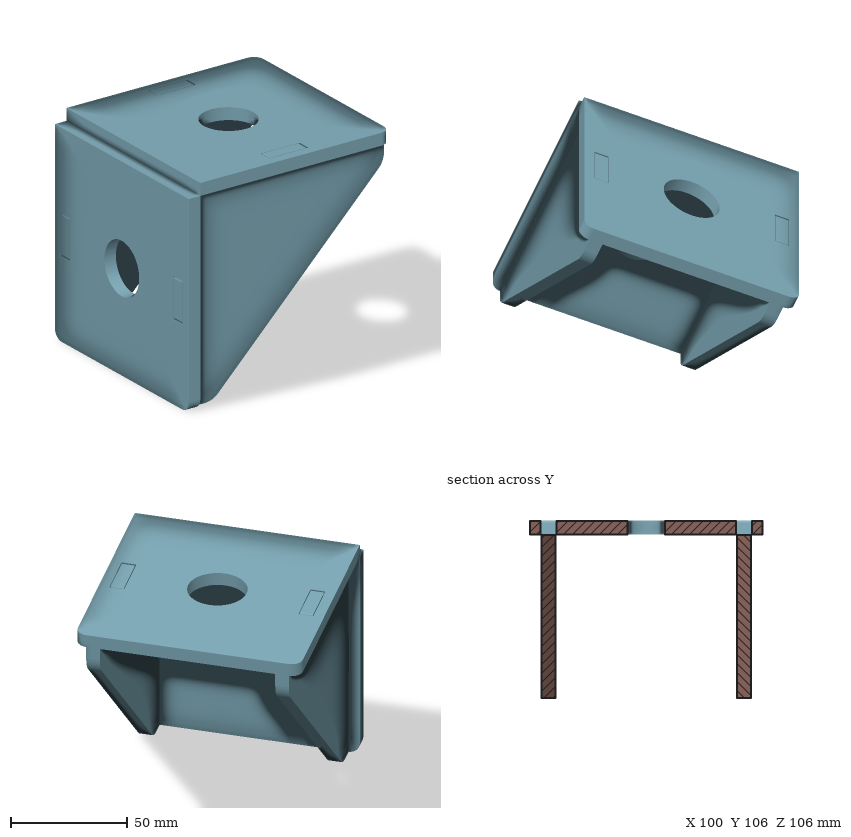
import cadquery as cq

overall = 106.0
plate_width = 100.0
plate_thickness = 6.0
corner_radius = 5.0
hole_diameter = 26.0

gusset_thickness = 6.0
gusset_inset = 5.0
gusset_nose = 10.0
gusset_corner_radius = 10.0

tab_length = 20.0
tab_end_radius = 1.0
slot_clearance = 0.25

plate_length = overall - plate_thickness
tab_center = plate_length / 2
gusset_center = plate_width / 2 - gusset_inset - gusset_thickness / 2
gusset_centers = [-gusset_center, gusset_center]


def make_plate():
    """Plate in XY, running from y = 0 to its rounded free end, rising from z = 0."""
    plate = (
        cq.Workplane("XY")
        .box(plate_width, plate_length, plate_thickness, centered=(True, False, False))
        .edges("|Z and >Y")
        .fillet(corner_radius)
    )
    hole = (
        cq.Workplane("XY")
        .center(0, tab_center)
        .circle(hole_diameter / 2)
        .extrude(plate_thickness)
    )
    slots = (
        cq.Workplane("XY")
        .pushPoints([(x, tab_center) for x in gusset_centers])
        .rect(gusset_thickness + 2 * slot_clearance, tab_length + 2 * slot_clearance)
        .extrude(plate_thickness)
    )
    return plate.cut(hole).cut(slots)


def swap_legs(body):
    """Mirror a body in the plane y = -z, exchanging the top and front directions."""
    return body.rotate((0, 0, 0), (1, 0, 0), 90).mirror("XY")


def make_tab():
    """Tab rising from z = 0 through the top plate, flush with its outer face."""
    return (
        cq.Workplane("XY")
        .center(0, tab_center)
        .rect(gusset_thickness, tab_length)
        .extrude(plate_thickness)
        .edges("|X and >Z")
        .fillet(tab_end_radius)
    )


def make_gusset(x_center):
    """Triangular web with one tab for each plate."""
    web = (
        cq.Workplane("YZ")
        .polyline([
            (0, 0),
            (plate_length, 0),
            (plate_length, -gusset_nose),
            (gusset_nose, -plate_length),
            (0, -plate_length),
        ])
        .close()
        .extrude(gusset_thickness / 2, both=True)
    )
    rounded_corners = [
        (0, plate_length, -gusset_nose),
        (0, gusset_nose, -plate_length),
    ]
    for corner in rounded_corners:
        web = web.edges(cq.NearestToPointSelector(corner)).fillet(gusset_corner_radius)
    tab = make_tab()
    return web.union(tab).union(swap_legs(tab)).translate((x_center, 0, 0))


top_plate = make_plate()
front_plate = swap_legs(make_plate())
gussets = [make_gusset(x) for x in gusset_centers]

result = cq.Compound.makeCompound([
    top_plate.val(),
    front_plate.val(),
    *[gusset.val() for gusset in gussets],
])